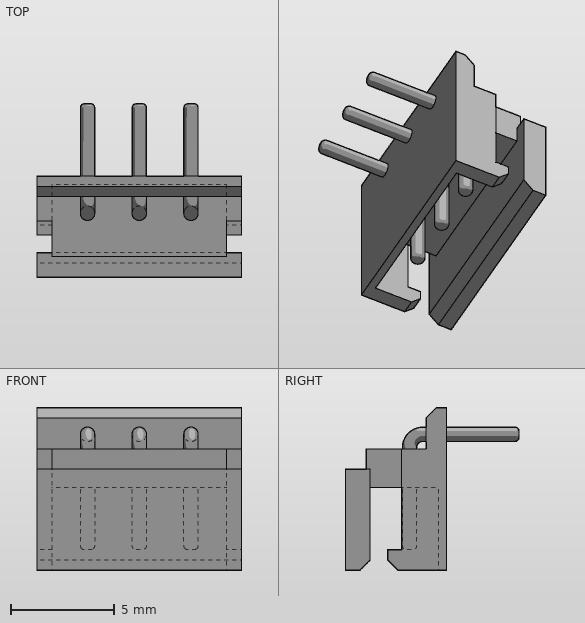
import cadquery as cq


housing_length = 9.9
housing_depth = 4.9
housing_height = 7.87
edge_chamfer = 0.5

lip_thickness = 1.0
body_depth = 2.18
shoulder_height = 5.87
hook_reach = 0.68
hook_height = 1.0
body_front = housing_depth - body_depth
hook_front = body_front - hook_reach
lip_front = housing_depth - lip_thickness

plate_thickness = 1.2
plate_height = 4.9
bridge_front = 1.0
bridge_bottom = 4.0
end_wall = 0.72
inner_length = housing_length - 2 * end_wall

back_wall = 0.4
cavity_depth = body_depth + hook_reach - back_wall

pin_count = 3
pin_pitch = 2.5
pin_radius = 0.35
pin_bend_radius = 0.65
pin_axis_height = 6.58
pin_drop_inset = 1.8
tail_length = 3.5
tip_fillet = 0.2
pin_drop_y = housing_depth - pin_drop_inset
tail_end = housing_depth + tail_length
contact_end = hook_height


def extrude_side_profile(points):
    """Extrude a closed (Y, Z) outline over the housing length, centred on X."""
    return cq.Workplane("YZ").polyline(points).close().extrude(housing_length / 2, both=True)


def inner_box(y_min, depth, z_min, height):
    """Box filling the space between the two end walls."""
    box = cq.Workplane("XY").box(inner_length, depth, height, centered=(True, False, False))
    return box.translate((0, y_min, z_min))


def make_rear_body():
    body = extrude_side_profile([
        (housing_depth, 0),
        (housing_depth, housing_height),
        (lip_front + edge_chamfer, housing_height),
        (lip_front, housing_height - edge_chamfer),
        (lip_front, shoulder_height),
        (body_front, shoulder_height),
        (body_front, hook_height),
        (hook_front, hook_height),
        (hook_front, edge_chamfer),
        (hook_front + edge_chamfer, 0),
    ])
    return body.cut(inner_box(hook_front, cavity_depth, 0, bridge_bottom))


def make_front_plate():
    return extrude_side_profile([
        (0, 0),
        (0, plate_height),
        (plate_thickness, plate_height),
        (plate_thickness, edge_chamfer),
        (plate_thickness - edge_chamfer, 0),
    ])


def make_bridge():
    bridge_depth = body_front - bridge_front
    return inner_box(bridge_front, bridge_depth, bridge_bottom, shoulder_height - bridge_bottom)


def make_pin(x):
    """Solder tail along +Y, a quarter bend, and a contact pointing down; both ends rounded."""
    path = (
        cq.Workplane("YZ", origin=(x, 0, 0))
        .moveTo(pin_drop_y, contact_end)
        .lineTo(pin_drop_y, pin_axis_height - pin_bend_radius)
        .tangentArcPoint((pin_bend_radius, pin_bend_radius))
        .lineTo(tail_end, pin_axis_height)
    )
    pin = cq.Workplane("XY", origin=(x, pin_drop_y, contact_end)).circle(pin_radius).sweep(path)
    return pin.faces("<Z or >Y").edges().fillet(tip_fillet)


result = make_rear_body().union(make_front_plate()).union(make_bridge())
for index in range(pin_count):
    pin_x = (index - (pin_count - 1) / 2) * pin_pitch
    result = result.union(make_pin(pin_x))